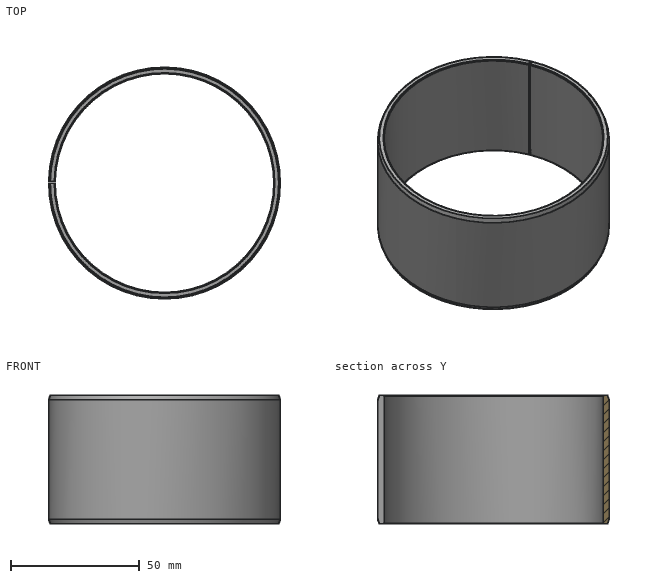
import cadquery as cq

outer_diameter = 90.0
height = 50.0
wall = 2.5
outer_chamfer_length = 1.8
outer_chamfer_depth = 0.6
inner_chamfer = 0.4
slit_width = 0.6

outer_radius = outer_diameter / 2
inner_radius = outer_radius - wall


def bushing_body():
    """Revolve the wall section, with both rims chamfered inside and outside."""
    section = [
        (inner_radius, inner_chamfer),
        (inner_radius + inner_chamfer, 0),
        (outer_radius - outer_chamfer_depth, 0),
        (outer_radius, outer_chamfer_length),
        (outer_radius, height - outer_chamfer_length),
        (outer_radius - outer_chamfer_depth, height),
        (inner_radius + inner_chamfer, height),
        (inner_radius, height - inner_chamfer),
    ]
    return cq.Workplane("XZ").polyline(section).close().revolve(360, (0, 0), (0, 1))


def slit():
    """Full-height gap through the wall on the -X side, starting at the XZ plane and opening toward +Y."""
    gap = cq.Workplane("XY").box(outer_radius, slit_width, height, centered=False)
    return gap.translate((-outer_radius, 0, 0))


result = bushing_body().cut(slit())